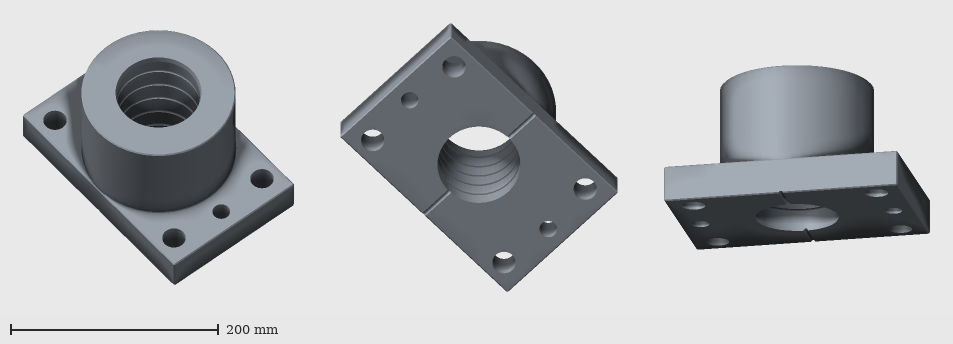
import cadquery as cq

PLATE_LENGTH = 230.0
PLATE_WIDTH = 150.0
PLATE_THICKNESS = 35.0
EDGE_CHAMFER = 1.2

TOTAL_HEIGHT = 130.0
BODY_RADIUS = 74.3
BODY_CHAMFER = 1.2
COLLAR_SIZE = 0.7

BORE_RADIUS = 40.0
LEAD_IN_RADIUS = 41.5
LEAD_IN_DEPTH = 5.0

RING_GROOVE_RADIUS = 1.8
RING_GROOVE_COUNT = 5
RING_GROOVE_PITCH = 22.3

BASE_GROOVE_RADIUS = 2.0

BOLT_HOLE_DIAMETER = 22.5
BOLT_SPACING_X = 180.0
BOLT_SPACING_Y = 110.0
DOWEL_HOLE_DIAMETER = 17.0
DOWEL_SPACING = 190.0


def revolve_about_z(profile):
    """Turn a closed (radius, height) outline into a solid about the Z axis."""
    return cq.Workplane("XZ").polyline(profile).close().revolve(360, (0, 0), (0, 1))


def make_plate():
    plate = cq.Workplane("XY").box(
        PLATE_LENGTH, PLATE_WIDTH, PLATE_THICKNESS, centered=(True, True, False)
    )
    return plate.edges().chamfer(EDGE_CHAMFER)


def make_body():
    return revolve_about_z([
        (0, EDGE_CHAMFER),
        (BODY_RADIUS, EDGE_CHAMFER),
        (BODY_RADIUS, TOTAL_HEIGHT - BODY_CHAMFER),
        (BODY_RADIUS - BODY_CHAMFER, TOTAL_HEIGHT),
        (0, TOTAL_HEIGHT),
    ])


def make_collar():
    """Sloped collar, trimmed to the flat top of the plate."""
    collar_top = PLATE_THICKNESS + COLLAR_SIZE
    collar = revolve_about_z([
        (0, PLATE_THICKNESS),
        (BODY_RADIUS + COLLAR_SIZE, PLATE_THICKNESS),
        (BODY_RADIUS, collar_top),
        (0, collar_top),
    ])
    flat_width = PLATE_WIDTH - 2 * EDGE_CHAMFER
    flat_area = cq.Workplane("XY").rect(PLATE_LENGTH, flat_width).extrude(TOTAL_HEIGHT)
    return collar.intersect(flat_area)


def make_bore():
    bore = revolve_about_z([
        (0, 0),
        (BORE_RADIUS, 0),
        (BORE_RADIUS, TOTAL_HEIGHT - LEAD_IN_DEPTH),
        (LEAD_IN_RADIUS, TOTAL_HEIGHT),
        (0, TOTAL_HEIGHT),
    ])
    lowest = TOTAL_HEIGHT / 2 - RING_GROOVE_PITCH * (RING_GROOVE_COUNT - 1) / 2
    for index in range(RING_GROOVE_COUNT):
        height = lowest + index * RING_GROOVE_PITCH
        ring = cq.Solid.makeTorus(BORE_RADIUS, RING_GROOVE_RADIUS, cq.Vector(0, 0, height))
        bore = bore.union(cq.Workplane(ring))
    return bore


def make_holes(points, diameter):
    return cq.Workplane("XY").pushPoints(points).circle(diameter / 2).extrude(PLATE_THICKNESS)


def make_base_groove():
    return cq.Workplane("XZ").circle(BASE_GROOVE_RADIUS).extrude(PLATE_WIDTH, both=True)


bolt_points = [(x * BOLT_SPACING_X / 2, y * BOLT_SPACING_Y / 2) for x in (-1, 1) for y in (-1, 1)]
dowel_points = [(x * DOWEL_SPACING / 2, 0) for x in (-1, 1)]

result = make_plate().union(make_body()).union(make_collar())
result = result.cut(make_bore())
result = result.cut(make_holes(bolt_points, BOLT_HOLE_DIAMETER))
result = result.cut(make_holes(dowel_points, DOWEL_HOLE_DIAMETER))
result = result.cut(make_base_groove())